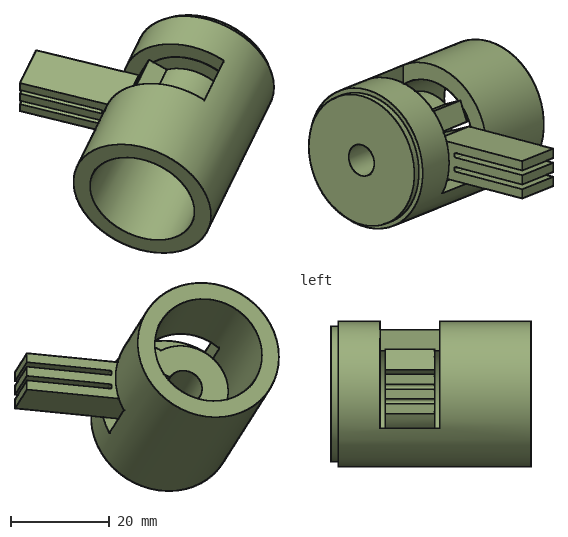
import cadquery as cq
import math


outer_diameter = 29.5
bore_diameter = 22.35
total_length = 40.5
spigot_diameter = 27.5
spigot_length = 1.5
axle_hole_diameter = 6.65
floor_recess = 0.1
window_front = 18.5
window_width = 12.0
window_right = 6.9
window_bottom = -6.9

side_gap = 1.0
hub_diameter = 18.05
hub_hole_diameter = 7.15
arm_reach = 32.95
finger_count = 3
finger_thickness = 2.0
finger_gap = 1.0
finger_length = 17.7
slit_width = 1.0
slit_tilt = 22.5
jaw_height = 5.05
jaw_tip_radius = 12.65

window_back = window_front + window_width
bore_depth = window_back + floor_recess
body_length = total_length - spigot_length
lever_front = window_front + side_gap
lever_width = window_width - 2 * side_gap
finger_pitch = finger_thickness + finger_gap
arm_height = finger_count * finger_thickness + (finger_count - 1) * finger_gap
jaw_reach = math.sqrt(jaw_tip_radius**2 - jaw_height**2)


def cylinder(diameter, start, length):
    """Cylinder on the Y axis, running from Y = start towards +Y."""
    plane = cq.Workplane("XZ", origin=(0, start, 0))
    return plane.circle(diameter / 2).extrude(-length)


def block(left, right, bottom, top, start, length):
    """Box between the given X and Z limits, running from Y = start towards +Y."""
    return cq.Workplane("XY").box(right - left, length, top - bottom, centered=False).translate(
        (left, start, bottom)
    )


def make_housing():
    """Tube with a back wall and spigot, opened on its upper left by the window."""
    body = cylinder(outer_diameter, 0, body_length)
    spigot = cylinder(spigot_diameter, body_length, spigot_length)
    window = block(
        -outer_diameter, window_right, window_bottom, outer_diameter, window_front, window_width
    )
    bore = cylinder(bore_diameter, 0, bore_depth)
    axle_hole = cylinder(axle_hole_diameter, bore_depth, total_length - bore_depth)
    return body.union(spigot).cut(bore).cut(window).cut(axle_hole)


def tilted_block(reach, bottom, top):
    """Radial block from the axis to the left, tilted upwards to the slit's direction."""
    flat = block(-reach, 0, bottom, top, lever_front, lever_width)
    return flat.rotate((0, 0, 0), (0, 1, 0), slit_tilt)


def make_finger_gap(height):
    """Gap between two fingers, centred at Z = height, with a fully rounded root."""
    radius = finger_gap / 2
    root = finger_length - arm_reach - radius
    gap = block(-arm_reach, root, height - radius, height + radius, lever_front, lever_width)
    return gap.union(cylinder(finger_gap, lever_front, lever_width).translate((root, 0, height)))


def make_clamp_lever():
    """Split hub with an upper jaw and an arm that ends in parallel fingers."""
    hub = cylinder(hub_diameter, lever_front, lever_width)
    jaw = tilted_block(jaw_reach, 0, jaw_height)
    arm = block(-arm_reach, 0, -arm_height / 2, arm_height / 2, lever_front, lever_width)
    arm = arm.cut(tilted_block(arm_reach, 0, arm_height).cut(jaw))
    lever = hub.union(jaw).union(arm)
    lever = lever.cut(tilted_block(jaw_tip_radius + slit_width, -slit_width / 2, slit_width / 2))
    lever = lever.cut(cylinder(hub_hole_diameter, lever_front, lever_width))
    for index in range(finger_count - 1):
        height = (index - (finger_count - 2) / 2) * finger_pitch
        lever = lever.cut(make_finger_gap(height))
    return lever


housing = make_housing()
clamp_lever = make_clamp_lever()
result = cq.Compound.makeCompound([housing.val(), clamp_lever.val()])